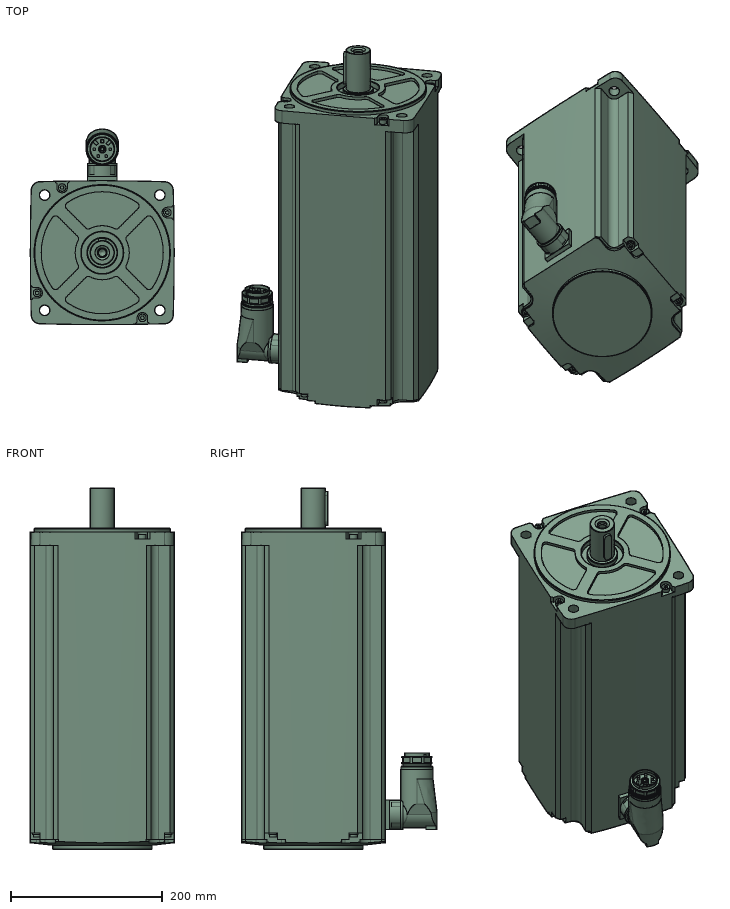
import cadquery as cq
import math


CLEARANCE = 1.0

SIDE_HALF = 95.0
SIDE_BOW = 1.5
FLANGE_THICKNESS = 17.5
FLANGE_CORNER_RADIUS = 12.0
BODY_BOTTOM = -406.0
NOTCH_WALL = 64.5
NOTCH_FILLET = 10.0
NOTCH_MOUTH = 57.6
NOTCH_LIP = 89.6

CAP_EDGE = -410.0
CAP_CONE_BOTTOM = -413.3
CAP_DISC_RADIUS = 65.7
PART_BOTTOM = -419.0
CAP_DISC_CHAMFER = 1.0
CAP_NOTCH_WALL = 61.5
CAP_NOTCH_FILLET = 14.0
CAP_RELIEF_START = 37.0
CAP_RELIEF_FILLET = 5.0

BOLT_CIRCLE = 215.0
BOLT_HOLE_DIAMETER = 13.5
PILOT_DIAMETER = 180.0
PILOT_HEIGHT = 5.0
PILOT_CHAMFER = 1.0
POCKET_OUTER_RADIUS = 80.5
POCKET_INNER_RADIUS = 35.7
POCKET_DEPTH = 4.0
SPOKE_WIDTH = 15.5
POCKET_FILLET = 5.0
SEAL_RECESS_RADIUS = 27.7
SEAL_RECESS_CHAMFER = 0.7
SEAL_RECESS_DEPTH = 8.0

SHAFT_DIAMETER = 32.0
SHAFT_TOP = 58.0
SHAFT_CHAMFER = 0.6
COLLAR_DIAMETER = 40.3
COLLAR_HEIGHT = 6.5
COLLAR_CHAMFER = 0.8
CENTRE_HOLE_DIAMETER = 10.11
CENTRE_HOLE_DEPTH = 30.0
DRILL_TIP_ANGLE = 118.0
CENTRE_BORE_DIAMETER = 13.0
CENTRE_BORE_DEPTH = 5.0
CENTRE_MOUTH_DIAMETER = 19.0
MOUTH_ANGLE = 120.0
KEY_WIDTH = 10.0
KEY_LENGTH = 45.0
KEY_BOTTOM = 8.5
KEY_TOP_Y = 19.0
KEY_HEIGHT = 8.0

SCREW_OFFSET = 53.0
SCREW_INSET = 86.0
SCREW_POCKET_WIDTH = 14.0
SCREW_POCKET_MOUTH = 20.0
SCREW_MOUTH_DEPTH = 3.0
SCREW_POCKET_DEPTH = 9.0
SCREW_HEAD_DIAMETER = 10.0
SCREW_HEAD_HEIGHT = 6.0
SCREW_SOCKET_DIAMETER = 5.2
SCREW_SOCKET_DEPTH = 3.0
REAR_POCKET_TOP = -397.0
REAR_POCKET_INNER_X = 82.0
REAR_POCKET_INNER_Y = 47.0
REAR_WASHER_DIAMETER = 11.5
REAR_WASHER_THICKNESS = 2.0
REAR_HEAD_HEIGHT = 3.5

PLUG_Y = 136.6
ELBOW_Z = -373.0
NECK_RADIUS = 19.7
NECK_PLATE_HALF = 19.75
NECK_PLATE_END = 100.5
NECK_NUT_END = 114.8
NECK_NUT_RADIUS = 19.3
NECK_END = 118.0
NECK_FLAT_START = 103.0
NECK_FLAT_WIDTH = 8.2
NECK_FLAT_ANGLES = (45, 135, 225, 315)
NECK_FLAT_DISTANCE = 18.9
TOWER_RADIUS = 21.4
TOWER_TOP = -313.5
TAPER_TOP = -326.0
TAPER_BOTTOM = -370.0
TAPER_SIDE_START = 0.5
BACK_CORNER_Y = 150.0
BACK_Y = 163.3
SHOULDER_Z = -359.0
ELBOW_RADIUS = 17.2
FOOT_FRONT = 148.5
FOOT_BOTTOM = -392.7
RIM_TOP = -291.3
RIM_DIAMETER = 32.73
RIM_BORE = 30.85
RIM_DEPTH = 8.0
RIB_ANGLES = (45, 135)
RIB_INNER_RADIUS = 9.0
RIB_WIDTH = 4.0
RIB_HEIGHT = 6.0
NUT_TOP = -296.0
NUT_BOTTOM = -306.0
NUT_DIAMETER = 40.3
NUT_CHAMFER = 0.8
NUT_FLAT_COUNT = 8
NUT_FLAT_WIDTH = 12.0
NUT_FLAT_HEIGHT = 6.5
NUT_FLAT_DEPTH = 1.2
GROOVE_BOTTOM = -309.0
GROOVE_DIAMETER = 37.0
TOWER_COLLAR_DIAMETER = 42.2
TOWER_COLLAR_CHAMFER = 1.0
PIN_CIRCLE_RADIUS = 10.5
KEY_PIN_ANGLE = 90
PIN_ANGLES = (KEY_PIN_ANGLE, 0, 180, 240, 300)
PIN_DIAMETER = 3.6
PIN_HEIGHT = 5.0
KEY_PIN_COLLAR_DIAMETER = 5.2
PIN_BOSS_DIAMETER = 10.11
PIN_BOSS_BORE = 7.06
PIN_BOSS_CORE = 4.0
PIN_BOSS_HEIGHT = 4.0


def cylinder(diameter, bottom, top, x=0.0, y=0.0):
    return cq.Workplane("XY", origin=(x, y, bottom)).circle(diameter / 2).extrude(top - bottom)


def box(x_range, y_range, z_range):
    """Box between the given limits."""
    size = [high - low for low, high in (x_range, y_range, z_range)]
    corner = (x_range[0], y_range[0], z_range[0])
    return cq.Workplane("XY").box(*size, centered=False).translate(corner)


def cylinder_along_y(radius, start, end, z):
    return cq.Workplane("XZ", origin=(0, start, z)).circle(radius).extrude(start - end)


def quarter_turns(shape):
    return [shape.rotate((0, 0, 0), (0, 0, 1), 90 * i) for i in range(4)]


def bowed_square(bottom, top):
    """Square block whose four sides are shallow outward arcs."""
    corner = SIDE_HALF - SIDE_BOW
    return (
        cq.Workplane("XY", origin=(0, 0, bottom))
        .moveTo(-corner, -corner)
        .threePointArc((0, -SIDE_HALF), (corner, -corner))
        .threePointArc((SIDE_HALF, 0), (corner, corner))
        .threePointArc((0, SIDE_HALF), (-corner, corner))
        .threePointArc((-SIDE_HALF, 0), (-corner, -corner))
        .close()
        .extrude(top - bottom)
    )


def notched_block(bottom, top, wall, fillet):
    """Bowed square with a filleted, bevel-mouthed notch along each corner."""
    block = bowed_square(bottom, top)
    mouth_slope = (wall - NOTCH_MOUTH) / (SIDE_HALF - NOTCH_LIP)
    outside = SIDE_HALF + CLEARANCE
    mouth = wall - mouth_slope * (outside - NOTCH_LIP)
    notch = (
        cq.Workplane("XY", origin=(0, 0, bottom))
        .polyline([
            (wall, wall),
            (NOTCH_LIP, wall),
            (outside, mouth),
            (outside, outside),
            (mouth, outside),
            (wall, NOTCH_LIP),
        ])
        .close()
        .extrude(top - bottom)
        .edges(cq.selectors.NearestToPointSelector((wall, wall, (bottom + top) / 2)))
        .fillet(fillet)
    )
    for cutter in quarter_turns(notch):
        block = block.cut(cutter)
    return block


def make_end_cap():
    """Notched plate under the body, coned towards a raised disc."""
    slope = (CAP_EDGE - CAP_CONE_BOTTOM) / (SIDE_HALF - CAP_DISC_RADIUS)
    cone_radius = SIDE_HALF * math.sqrt(2)
    cone_top = CAP_EDGE + slope * (cone_radius - SIDE_HALF)
    envelope = (
        cq.Workplane("XZ")
        .polyline([
            (0, BODY_BOTTOM),
            (cone_radius, BODY_BOTTOM),
            (cone_radius, cone_top),
            (CAP_DISC_RADIUS, CAP_CONE_BOTTOM),
            (0, CAP_CONE_BOTTOM),
        ])
        .close()
        .revolve(360, (0, 0, 0), (0, 1, 0))
    )
    plate = notched_block(CAP_CONE_BOTTOM, BODY_BOTTOM, CAP_NOTCH_WALL, CAP_NOTCH_FILLET)
    plate = plate.intersect(envelope)
    disc = cylinder(2 * CAP_DISC_RADIUS, PART_BOTTOM, CAP_CONE_BOTTOM)
    return plate.union(disc.faces("<Z").edges().chamfer(CAP_DISC_CHAMFER))


def make_flange_pocket():
    """Ring sector between two diagonal spokes, on the +Y side."""
    half_spoke = SPOKE_WIDTH / 2
    reach = 2 * POCKET_OUTER_RADIUS
    tip = half_spoke * math.sqrt(2)
    bottom = PILOT_HEIGHT - POCKET_DEPTH
    wedge = (
        cq.Workplane("XY", origin=(0, 0, bottom))
        .polyline([(0, tip), (reach, tip + reach), (-reach, tip + reach)])
        .close()
        .extrude(POCKET_DEPTH)
    )
    ring = cylinder(2 * POCKET_OUTER_RADIUS, bottom, PILOT_HEIGHT)
    ring = ring.cut(cylinder(2 * POCKET_INNER_RADIUS, bottom, PILOT_HEIGHT))
    return ring.intersect(wedge).edges("|Z").fillet(POCKET_FILLET)


def make_flange():
    flange = bowed_square(-FLANGE_THICKNESS, 0).edges("|Z").fillet(FLANGE_CORNER_RADIUS)
    pilot = cylinder(PILOT_DIAMETER, 0, PILOT_HEIGHT).faces(">Z").edges().chamfer(PILOT_CHAMFER)
    flange = flange.union(pilot)
    for pocket in quarter_turns(make_flange_pocket()):
        flange = flange.cut(pocket)
    spacing = BOLT_CIRCLE / math.sqrt(2)
    holes = (
        cq.Workplane("XY", origin=(0, 0, -FLANGE_THICKNESS))
        .rect(spacing, spacing, forConstruction=True)
        .vertices()
        .circle(BOLT_HOLE_DIAMETER / 2)
        .extrude(FLANGE_THICKNESS)
    )
    return flange.cut(holes)


def make_seal_recess():
    recess = cylinder(2 * SEAL_RECESS_RADIUS, PILOT_HEIGHT - SEAL_RECESS_DEPTH, PILOT_HEIGHT)
    rim = (
        cq.Workplane("XY", origin=(0, 0, PILOT_HEIGHT))
        .circle(SEAL_RECESS_RADIUS + SEAL_RECESS_CHAMFER)
        .workplane(offset=-SEAL_RECESS_CHAMFER)
        .circle(SEAL_RECESS_RADIUS)
        .loft()
    )
    return recess.union(rim)


def make_screw_head(x, y, bottom):
    head = cylinder(SCREW_HEAD_DIAMETER, bottom, bottom + SCREW_HEAD_HEIGHT, x, y)
    socket = (
        cq.Workplane("XY", origin=(x, y, bottom + SCREW_HEAD_HEIGHT - SCREW_SOCKET_DEPTH))
        .polygon(6, SCREW_SOCKET_DIAMETER)
        .extrude(SCREW_SOCKET_DEPTH)
    )
    return head.cut(socket)


def make_flange_screw_pocket():
    """Round-ended pocket opening through the +Y side with a flared mouth."""
    half = SCREW_POCKET_WIDTH / 2
    half_mouth = SCREW_POCKET_MOUTH / 2
    x = -SCREW_OFFSET
    throat = SIDE_HALF - SIDE_BOW / 2 - SCREW_MOUTH_DEPTH
    return (
        cq.Workplane("XY", origin=(0, 0, -SCREW_POCKET_DEPTH))
        .moveTo(x - half, SCREW_INSET)
        .lineTo(x - half, throat)
        .lineTo(x - half_mouth, throat + SCREW_MOUTH_DEPTH)
        .lineTo(x - half_mouth, SIDE_HALF)
        .lineTo(x + half_mouth, SIDE_HALF)
        .lineTo(x + half_mouth, throat + SCREW_MOUTH_DEPTH)
        .lineTo(x + half, throat)
        .lineTo(x + half, SCREW_INSET)
        .threePointArc((x, SCREW_INSET - half), (x - half, SCREW_INSET))
        .close()
        .extrude(SCREW_POCKET_DEPTH + PILOT_HEIGHT)
    )


def add_flange_screws(motor):
    for pocket in quarter_turns(make_flange_screw_pocket()):
        motor = motor.cut(pocket)
    head = make_screw_head(-SCREW_OFFSET, SCREW_INSET, -SCREW_POCKET_DEPTH)
    for screw in quarter_turns(head):
        motor = motor.union(screw)
    return motor


def make_rear_screw():
    """Washer and socket head hanging from the pocket ceiling, in the +X +Y corner."""
    washer_bottom = REAR_POCKET_TOP - REAR_WASHER_THICKNESS
    head_bottom = washer_bottom - REAR_HEAD_HEIGHT
    washer = cylinder(REAR_WASHER_DIAMETER, washer_bottom, REAR_POCKET_TOP, SCREW_INSET, SCREW_OFFSET)
    head = cylinder(SCREW_HEAD_DIAMETER, head_bottom, washer_bottom, SCREW_INSET, SCREW_OFFSET)
    socket = (
        cq.Workplane("XY", origin=(SCREW_INSET, SCREW_OFFSET, head_bottom))
        .polygon(6, SCREW_SOCKET_DIAMETER)
        .extrude(SCREW_SOCKET_DEPTH)
    )
    return washer.union(head).cut(socket)


def add_rear_screws(motor):
    """Cap reliefs and screw pockets, open below and to the side, with their screws."""
    outer = SIDE_HALF + CLEARANCE
    far = NOTCH_WALL + 2 * CLEARANCE
    relief = box((REAR_POCKET_INNER_X, outer), (CAP_RELIEF_START, far), (CAP_CONE_BOTTOM, BODY_BOTTOM))
    inner_corner = (REAR_POCKET_INNER_X, CAP_RELIEF_START, (CAP_CONE_BOTTOM + BODY_BOTTOM) / 2)
    relief = relief.edges(cq.selectors.NearestToPointSelector(inner_corner)).fillet(CAP_RELIEF_FILLET)
    pocket = box(
        (REAR_POCKET_INNER_X, outer),
        (REAR_POCKET_INNER_Y, far),
        (BODY_BOTTOM, REAR_POCKET_TOP),
    )
    opening = relief.union(pocket)
    screw = make_rear_screw()
    for mirror_x in (False, True):
        for mirror_y in (False, True):
            cutter = opening.mirror("YZ") if mirror_x else opening
            fastener = screw.mirror("YZ") if mirror_x else screw
            cutter = cutter.mirror("XZ") if mirror_y else cutter
            fastener = fastener.mirror("XZ") if mirror_y else fastener
            motor = motor.cut(cutter).union(fastener)
    return motor


def make_shaft():
    """Shaft and collar with a stepped centre hole and a round-ended key."""
    recess_floor = PILOT_HEIGHT - SEAL_RECESS_DEPTH
    shaft = cylinder(SHAFT_DIAMETER, recess_floor, SHAFT_TOP)
    shaft = shaft.faces(">Z").edges().chamfer(SHAFT_CHAMFER)
    collar = cylinder(COLLAR_DIAMETER, recess_floor, recess_floor + COLLAR_HEIGHT)
    shaft = shaft.union(collar.faces(">Z").edges().chamfer(COLLAR_CHAMFER))
    key_centre = KEY_BOTTOM + KEY_LENGTH / 2
    key = (
        cq.Workplane("XZ", origin=(0, KEY_TOP_Y, key_centre))
        .slot2D(KEY_LENGTH, KEY_WIDTH, 90)
        .extrude(KEY_HEIGHT)
    )
    shaft = shaft.union(key)
    mouth_step = (CENTRE_MOUTH_DIAMETER - CENTRE_BORE_DIAMETER) / 2
    mouth_depth = mouth_step / math.tan(math.radians(MOUTH_ANGLE / 2))
    thread_chamfer = (CENTRE_BORE_DIAMETER - CENTRE_HOLE_DIAMETER) / 2
    tip_height = CENTRE_HOLE_DIAMETER / 2 / math.tan(math.radians(DRILL_TIP_ANGLE / 2))
    centre_hole = (
        cq.Workplane("XZ")
        .polyline([
            (0, SHAFT_TOP),
            (CENTRE_MOUTH_DIAMETER / 2, SHAFT_TOP),
            (CENTRE_BORE_DIAMETER / 2, SHAFT_TOP - mouth_depth),
            (CENTRE_BORE_DIAMETER / 2, SHAFT_TOP - CENTRE_BORE_DEPTH),
            (CENTRE_HOLE_DIAMETER / 2, SHAFT_TOP - CENTRE_BORE_DEPTH - thread_chamfer),
            (CENTRE_HOLE_DIAMETER / 2, SHAFT_TOP - CENTRE_HOLE_DEPTH),
            (0, SHAFT_TOP - CENTRE_HOLE_DEPTH - tip_height),
        ])
        .close()
        .revolve(360, (0, 0, 0), (0, 1, 0))
    )
    return shaft.cut(centre_hole)


def make_connector_neck():
    """Round neck on a square mount, with four flats on its nut."""
    start = SIDE_HALF - 2 * SIDE_BOW
    neck = cylinder_along_y(NECK_NUT_RADIUS, NECK_PLATE_END, NECK_NUT_END, ELBOW_Z)
    neck = neck.union(cylinder_along_y(NECK_RADIUS, NECK_NUT_END, NECK_END, ELBOW_Z))
    mount = box(
        (-NECK_PLATE_HALF, NECK_PLATE_HALF),
        (start, NECK_PLATE_END),
        (ELBOW_Z - NECK_PLATE_HALF, ELBOW_Z + NECK_PLATE_HALF),
    )
    neck = neck.union(mount)
    flat = box(
        (-NECK_FLAT_WIDTH / 2, NECK_FLAT_WIDTH / 2),
        (NECK_FLAT_START, NECK_NUT_END),
        (ELBOW_Z + NECK_FLAT_DISTANCE, ELBOW_Z + NECK_RADIUS),
    )
    for angle in NECK_FLAT_ANGLES:
        neck = neck.cut(flat.rotate((0, 0, ELBOW_Z), (0, 1, ELBOW_Z), angle))
    return neck


def tower_outline(z, corner_y, back_y):
    """Tower section at height z: round front, straight sides, arched back."""
    return (
        cq.Workplane("XY", origin=(0, 0, z))
        .moveTo(-TOWER_RADIUS, corner_y)
        .lineTo(-TOWER_RADIUS, PLUG_Y)
        .threePointArc((0, PLUG_Y - TOWER_RADIUS), (TOWER_RADIUS, PLUG_Y))
        .lineTo(TOWER_RADIUS, corner_y)
        .threePointArc((0, back_y), (-TOWER_RADIUS, corner_y))
        .close()
    )


def make_tower():
    """Upright connector housing, leaning out at the back and narrowing to the elbow."""
    upper = tower_outline(TAPER_TOP, PLUG_Y + TAPER_SIDE_START, PLUG_Y + TOWER_RADIUS)
    lower = tower_outline(TAPER_BOTTOM, BACK_CORNER_Y, BACK_Y)
    taper = cq.Workplane(cq.Solid.makeLoft([upper.val(), lower.val()], True))
    base = tower_outline(FOOT_BOTTOM, BACK_CORNER_Y, BACK_Y).extrude(TAPER_BOTTOM - FOOT_BOTTOM)
    tower = cylinder(2 * TOWER_RADIUS, TAPER_TOP, TOWER_TOP, 0, PLUG_Y).union(taper).union(base)

    side_slope = (SHOULDER_Z - ELBOW_Z) / (TOWER_RADIUS - ELBOW_RADIUS)
    clear_x = TOWER_RADIUS + CLEARANCE
    clear_z = SHOULDER_Z + side_slope * (clear_x - TOWER_RADIUS)
    side_profile = (
        cq.Workplane("XZ", origin=(0, BACK_Y + CLEARANCE, 0))
        .moveTo(-clear_x, TOWER_TOP + CLEARANCE)
        .lineTo(-clear_x, clear_z)
        .lineTo(-ELBOW_RADIUS, ELBOW_Z)
        .threePointArc((0, ELBOW_Z - ELBOW_RADIUS), (ELBOW_RADIUS, ELBOW_Z))
        .lineTo(clear_x, clear_z)
        .lineTo(clear_x, TOWER_TOP + CLEARANCE)
        .close()
        .extrude(BACK_Y - SIDE_HALF)
    )
    foot = box(
        (-ELBOW_RADIUS / 2, ELBOW_RADIUS / 2),
        (FOOT_FRONT, BACK_Y),
        (FOOT_BOTTOM, ELBOW_Z),
    )
    elbow = cylinder_along_y(ELBOW_RADIUS, NECK_NUT_END, PLUG_Y, ELBOW_Z)
    return tower.intersect(side_profile.union(foot)).union(elbow)


def make_plug():
    """Coupling end of the connector: collar, groove, nut, rim and contacts with two keying ribs."""
    plug = cylinder(TOWER_COLLAR_DIAMETER, TOWER_TOP, GROOVE_BOTTOM, 0, PLUG_Y)
    plug = plug.faces(">Z").edges().chamfer(TOWER_COLLAR_CHAMFER)
    plug = plug.union(cylinder(GROOVE_DIAMETER, GROOVE_BOTTOM, NUT_BOTTOM, 0, PLUG_Y))
    nut = cylinder(NUT_DIAMETER, NUT_BOTTOM, NUT_TOP, 0, PLUG_Y)
    plug = plug.union(nut.edges().chamfer(NUT_CHAMFER))
    plug = plug.union(cylinder(RIM_DIAMETER, NUT_TOP, RIM_TOP, 0, PLUG_Y))
    middle = (NUT_TOP + NUT_BOTTOM) / 2
    outer = NUT_DIAMETER / 2
    flat = box(
        (outer - NUT_FLAT_DEPTH, outer + NUT_FLAT_DEPTH),
        (PLUG_Y - NUT_FLAT_WIDTH / 2, PLUG_Y + NUT_FLAT_WIDTH / 2),
        (middle - NUT_FLAT_HEIGHT / 2, middle + NUT_FLAT_HEIGHT / 2),
    )
    for i in range(NUT_FLAT_COUNT):
        plug = plug.cut(flat.rotate((0, PLUG_Y, 0), (0, PLUG_Y, 1), i * 360 / NUT_FLAT_COUNT))

    floor = RIM_TOP - RIM_DEPTH
    plug = plug.cut(cylinder(RIM_BORE, floor, RIM_TOP, 0, PLUG_Y))
    rib = box(
        (RIB_INNER_RADIUS, RIM_BORE / 2),
        (PLUG_Y - RIB_WIDTH / 2, PLUG_Y + RIB_WIDTH / 2),
        (floor, floor + RIB_HEIGHT),
    )
    for angle in RIB_ANGLES:
        plug = plug.union(rib.rotate((0, PLUG_Y, 0), (0, PLUG_Y, 1), angle))
    boss = cylinder(PIN_BOSS_DIAMETER, floor, floor + PIN_BOSS_HEIGHT, 0, PLUG_Y)
    plug = plug.union(boss.cut(cylinder(PIN_BOSS_BORE, floor, floor + PIN_BOSS_HEIGHT, 0, PLUG_Y)))
    plug = plug.union(cylinder(PIN_BOSS_CORE, floor, floor + PIN_BOSS_HEIGHT, 0, PLUG_Y))
    for angle in PIN_ANGLES:
        x = PIN_CIRCLE_RADIUS * math.cos(math.radians(angle))
        y = PLUG_Y + PIN_CIRCLE_RADIUS * math.sin(math.radians(angle))
        plug = plug.union(cylinder(PIN_DIAMETER, floor, floor + PIN_HEIGHT, x, y))
        if angle == KEY_PIN_ANGLE:
            plug = plug.union(cylinder(KEY_PIN_COLLAR_DIAMETER, floor, floor + PIN_BOSS_HEIGHT, x, y))
    return plug


motor = notched_block(BODY_BOTTOM, -FLANGE_THICKNESS, NOTCH_WALL, NOTCH_FILLET).union(make_flange())
motor = motor.union(make_end_cap())
motor = add_flange_screws(motor)
motor = add_rear_screws(motor)
motor = motor.cut(make_seal_recess())
motor = motor.union(make_shaft())
connector = make_connector_neck().union(make_tower()).union(make_plug())
result = motor.union(connector)